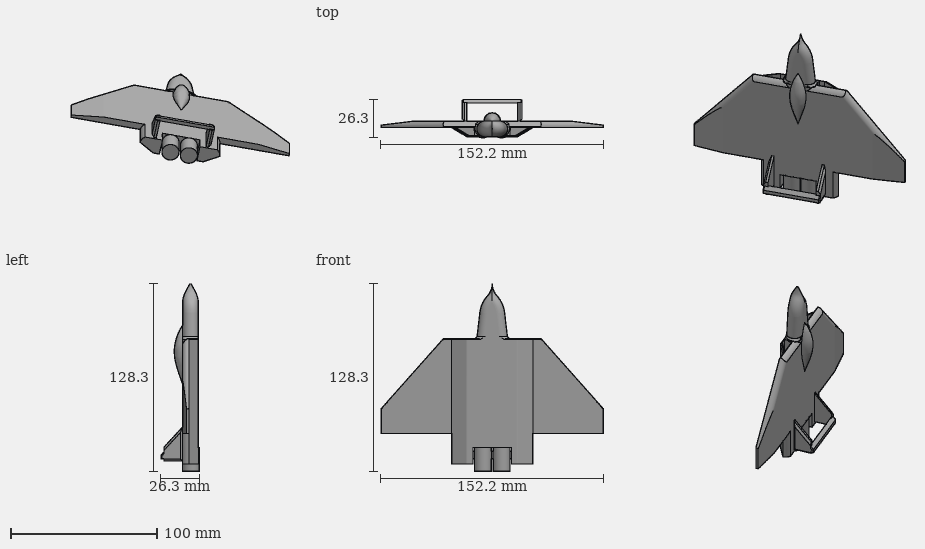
import cadquery as cq
import math


half_span = 76.1
wing_thickness = 4.5
wing_tip_thickness = 1.8
taper_start_x = 53.9
wing_rear_z = 25.9
tip_front_z = 42.9
front_z = 91.0
knee_x = 33.3
lip = 0.8
straight_edge_setback = 10.7
straight_edge_mid = (2.3, -0.9)
swept_edge_setback = 3.8
swept_edge_mid = (1.0, -1.4)

body_rear_z = 5.0
body_depth = 10.8
body_half_width = 27.9
floor_half_width = 17.4
roof_half_width = 25.1
upper_side_mid = (27.0, -1.8)
keel_radius = 2.0

intake_wall = 1.5
intake_floor = 0.9
intake_inner_x = 12.2
intake_depth = 30.5

side_radius = body_depth / 2
axis_y = -side_radius
buried_z = 83.7
base_flat = 5.2
shoulder_flat = 3.2
shoulder_z = 108.0
nose_turn = (-0.6, 116.5)
tip_half_width = 0.03
nose_tip_z = 128.3
flare_height = 2.0
flare_growth = 1.8

canopy_rear_z = 59.7
canopy_front_z = 100.0
canopy_peak_z = 82.0
canopy_height = 5.8
canopy_rear_shoulder = (3.0, 68.3)
canopy_front_shoulder = (4.1, 91.8)

fin_outer_x = 20.5
fin_thickness = 3.2
fin_height = 12.8
fin_rear_z = 7.0
fin_root_front_z = 30.5
fin_top_front_z = 16.6
fin_bevel = 1.5
bar_bottom_y = 12.3
bar_top_y = 14.8
bar_rear_z = 8.5
bar_bottom_front_z = 13.9
bar_top_front_z = 11.1
bar_bevel = 0.8

nozzle_diameter = 11.7
nozzle_gap = 1.0
nozzle_bottom_y = -11.5
bay_half_width = 13.1
bay_front_z = 16.3


def mirrored(half):
    """Join a half shape with its mirror image across the X = 0 plane."""
    return half.union(half.mirror("YZ"))


def prism_z(points, z_start, z_end):
    """Extrude an XY outline along Z."""
    return cq.Workplane("XY").workplane(offset=z_start).polyline(points).close().extrude(z_end - z_start)


def slab_x(outline, x_start, x_end):
    """Extrude a closed YZ outline along X."""
    return outline.extrude(x_end - x_start).translate((x_start, 0, 0))


def edge_block(corner, along, bevel, mid_point, setback):
    """Solid reaching far behind a straight leading edge that is round on top and bevelled below.

    The edge passes through corner (x, z) and runs along the direction (x, z).
    """
    plane = cq.Plane(
        origin=(corner[0], 0, corner[1]), xDir=(along[1], 0, -along[0]), normal=(along[0], 0, along[1])
    )
    reach = 2 * half_span
    return (
        cq.Workplane(plane)
        .moveTo(reach, 0)
        .lineTo(reach, -wing_thickness)
        .lineTo(bevel, -wing_thickness)
        .lineTo(0, -wing_thickness + lip)
        .threePointArc(mid_point, (setback, 0))
        .close()
        .extrude(reach, both=True)
    )


def make_wings():
    plan_points = [(0, wing_rear_z), (half_span, wing_rear_z), (half_span, tip_front_z),
                   (knee_x, front_z), (0, front_z)]
    plan = cq.Workplane("XZ").polyline(plan_points).close().extrude(wing_thickness)
    tip_y = wing_tip_thickness - wing_thickness
    thickness_points = [(0, -wing_thickness), (half_span, -wing_thickness), (half_span, tip_y),
                        (taper_start_x, 0), (0, 0)]
    thickness = prism_z(thickness_points, wing_rear_z, front_z)
    knee = (knee_x, front_z)
    sweep_direction = (half_span - knee_x, tip_front_z - front_z)
    straight_edge = edge_block(knee, (1, 0), lip, straight_edge_mid, straight_edge_setback)
    swept_edge = edge_block(knee, sweep_direction, 0, swept_edge_mid, swept_edge_setback)
    return mirrored(plan.intersect(thickness).intersect(straight_edge).intersect(swept_edge))


def make_body():
    lower_points = [(-body_half_width, -wing_thickness), (-floor_half_width, -body_depth),
                    (floor_half_width, -body_depth), (body_half_width, -wing_thickness)]
    lower = prism_z(lower_points, body_rear_z, front_z)
    lower = lower.edges("|Z and <Y").fillet(keel_radius)
    lower = lower.faces(">Z").edges("not >Y").chamfer(lip)
    side_mid_x, side_mid_y = upper_side_mid
    upper = (
        cq.Workplane("XY", origin=(0, 0, body_rear_z))
        .moveTo(-body_half_width, -wing_thickness)
        .lineTo(body_half_width, -wing_thickness)
        .threePointArc((side_mid_x, side_mid_y), (roof_half_width, 0))
        .lineTo(-roof_half_width, 0)
        .threePointArc((-side_mid_x, side_mid_y), (-body_half_width, -wing_thickness))
        .close()
        .extrude(front_z - straight_edge_setback - body_rear_z)
    )
    return lower.union(upper)


def make_intakes():
    side_run = body_half_width - floor_half_width
    side_rise = body_depth - wing_thickness
    wall_shift = intake_wall * math.hypot(side_run, side_rise) / side_rise
    top_x = body_half_width - wall_shift
    floor_y = -body_depth + intake_floor
    floor_x = top_x + (floor_y + wing_thickness) * side_run / side_rise
    points = [(intake_inner_x, -wing_thickness), (top_x, -wing_thickness),
              (floor_x, floor_y), (intake_inner_x, floor_y)]
    return mirrored(prism_z(points, front_z - intake_depth, front_z))


def make_fuselage():
    flat_slope = (shoulder_flat - base_flat) / (shoulder_z - front_z)
    buried_flat = base_flat + flat_slope * (buried_z - front_z)

    def flat_edge():
        return (
            cq.Workplane("XZ", origin=(0, axis_y, 0))
            .moveTo(buried_flat, buried_z)
            .lineTo(shoulder_flat, shoulder_z)
            .tangentArcPoint(nose_turn, relative=False)
            .tangentArcPoint((tip_half_width - side_radius, nose_tip_z), relative=False)
        )

    tube_start = cq.Plane(
        origin=(buried_flat, axis_y, buried_z), xDir=(0, 1, 0), normal=(flat_slope, 0, 1)
    )
    tube = cq.Workplane(tube_start).circle(side_radius).sweep(flat_edge())
    core = (
        flat_edge()
        .lineTo(-half_span, nose_tip_z)
        .lineTo(-half_span, buried_z)
        .close()
        .extrude(side_radius, both=True)
    )
    right_side = cq.Workplane("XY").box(
        half_span, body_depth, nose_tip_z - buried_z, centered=(False, True, False)
    ).translate((0, axis_y, buried_z))
    fuselage = mirrored(tube.union(core).intersect(right_side))

    def flare_section(workplane, reach):
        return (
            workplane.moveTo(-base_flat, -side_radius)
            .lineTo(base_flat, -side_radius)
            .threePointArc((base_flat + reach, 0), (base_flat, side_radius))
            .lineTo(-base_flat, side_radius)
            .threePointArc((-base_flat - reach, 0), (-base_flat, -side_radius))
            .close()
        )

    foot = cq.Workplane("XY", origin=(0, axis_y, front_z - lip))
    flare = flare_section(foot, side_radius + flare_growth)
    flare = flare_section(flare.workplane(offset=flare_height), side_radius).loft()
    level = cq.Workplane("XY").box(2 * half_span, body_depth, nose_tip_z, centered=(True, True, False))
    flare = flare.intersect(level.translate((0, axis_y, 0)))
    return fuselage.union(flare)


def make_canopy():
    peak = (canopy_height, canopy_peak_z)
    upper_points = [canopy_rear_shoulder, peak, canopy_front_shoulder, (0, canopy_front_z)]
    profile = (
        cq.Workplane("XY")
        .moveTo(0, canopy_rear_z)
        .spline(upper_points, includeCurrent=True)
        .close()
    )
    turned = profile.revolve(360, (0, 0, 0), (0, 1, 0)).rotate((0, 0, 0), (1, 0, 0), 90)
    kept_space = cq.Workplane("XY").box(
        2 * half_span, 2 * canopy_height, nose_tip_z, centered=(True, False, False)
    )
    return turned.intersect(kept_space.translate((0, axis_y, 0)))


def make_tail():
    fin_outline = cq.Workplane("YZ").polyline([
        (0, fin_rear_z), (fin_height, fin_rear_z), (fin_height, fin_top_front_z), (0, fin_root_front_z),
    ]).close()
    fin = slab_x(fin_outline, fin_outer_x - fin_thickness, fin_outer_x)
    fin = fin.faces(">X").edges("not >Y").chamfer(fin_bevel)
    bar_outline = cq.Workplane("YZ").polyline([
        (bar_bottom_y, bar_rear_z), (bar_top_y, bar_rear_z),
        (bar_top_y, bar_top_front_z), (bar_bottom_y, bar_bottom_front_z),
    ]).close()
    bar = slab_x(bar_outline, -fin_outer_x, fin_outer_x)
    bar = bar.faces("<X or >X").edges(">Z or >Y").chamfer(bar_bevel)
    return mirrored(fin).union(bar)


def make_nozzles():
    nozzle_radius = nozzle_diameter / 2
    nozzle_x = nozzle_radius + nozzle_gap / 2
    nozzle_y = nozzle_bottom_y + nozzle_radius
    nozzle = cq.Workplane("XY").center(nozzle_x, nozzle_y).circle(nozzle_radius).extrude(bay_front_z)
    return mirrored(nozzle)


def make_exhaust_bay():
    return cq.Workplane("XY").box(
        2 * bay_half_width, 2 * body_depth, bay_front_z, centered=(True, True, False)
    ).translate((0, axis_y, 0))


result = make_wings().union(make_body())
result = result.cut(make_intakes()).cut(make_exhaust_bay())
result = result.union(make_fuselage()).union(make_canopy())
result = result.union(make_tail()).union(make_nozzles())